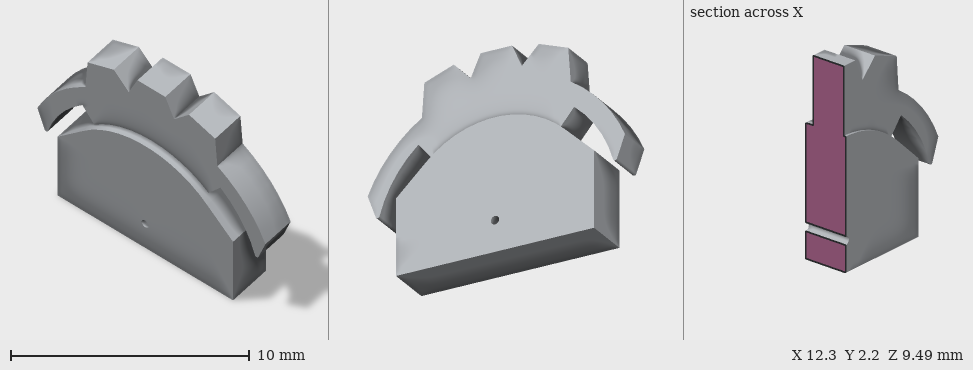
import cadquery as cq
import math

base_width = 9.5
base_depth = 2.2
shoulder_height = 3.61
crown_radius = 4.81
crown_half_chord = 3.34
pivot_height = 1.48
pivot_diameter = 0.4

gear_thickness = 1.68
gear_front_setback = 0.41
rim_radius = 6.7
arm_inner_radius = 5.81
web_half_angle = 40.0

tooth_pitch_angle = 20.0
tooth_tip_height = 8.01
tooth_tip_width = 1.5
tooth_root_half_angle = 12.2

arm_span = 12.33
arm_end_height = 1.55
nose_width = 0.18
nose_length = 0.06

front_y = -base_depth / 2
gear_front_y = front_y + gear_front_setback


def polar(radius, angle):
    """Point relative to the pivot, angle in degrees from vertical."""
    a = math.radians(angle)
    return (radius * math.sin(a), radius * math.cos(a))


def circle_height(radius, x):
    """Height above the pivot of a circle about the pivot at offset x."""
    return math.sqrt(radius**2 - x**2)


def pivot_plane(y):
    """Sketch plane at depth y with its origin on the pivot axis, X right and Z up."""
    return cq.Workplane(cq.Plane(origin=(0, y, pivot_height), xDir=(1, 0, 0), normal=(0, -1, 0)))


def make_base():
    half_width = base_width / 2
    bottom = -pivot_height
    shoulder = shoulder_height - pivot_height
    crown_end = circle_height(crown_radius, crown_half_chord)
    return (
        pivot_plane(front_y)
        .moveTo(-half_width, bottom)
        .lineTo(-half_width, shoulder)
        .lineTo(-crown_half_chord, crown_end)
        .threePointArc((0, crown_radius), (crown_half_chord, crown_end))
        .lineTo(half_width, shoulder)
        .lineTo(half_width, bottom)
        .close()
        .extrude(-base_depth)
    )


def make_rim():
    """Web wedge from the pivot, rim and the two curved arms."""
    inner_x = circle_height(arm_inner_radius, arm_end_height)
    inner_angle = math.degrees(math.atan2(inner_x, arm_end_height))
    inner_mid_angle = (web_half_angle + inner_angle) / 2
    nose_x = inner_x + nose_width
    nose_tip_x = inner_x + nose_width / 2
    nose_tip_height = arm_end_height - nose_length
    outer_x = arm_span / 2
    outer_height = circle_height(rim_radius, outer_x)
    return (
        pivot_plane(gear_front_y)
        .moveTo(0, 0)
        .lineTo(*polar(arm_inner_radius, -web_half_angle))
        .threePointArc(polar(arm_inner_radius, -inner_mid_angle), (-inner_x, arm_end_height))
        .threePointArc((-nose_tip_x, nose_tip_height), (-nose_x, arm_end_height))
        .lineTo(-outer_x, outer_height)
        .threePointArc((0, rim_radius), (outer_x, outer_height))
        .lineTo(nose_x, arm_end_height)
        .threePointArc((nose_tip_x, nose_tip_height), (inner_x, arm_end_height))
        .threePointArc(polar(arm_inner_radius, inner_mid_angle), polar(arm_inner_radius, web_half_angle))
        .close()
        .extrude(-gear_thickness)
    )


def make_tooth(angle):
    """Trapezoid tooth whose flanks run down to the rim circle."""
    root_x, root_height = polar(rim_radius, tooth_root_half_angle)
    tip_x = tooth_tip_width / 2
    tooth = (
        pivot_plane(gear_front_y)
        .polyline([
            (-root_x, root_height),
            (-tip_x, tooth_tip_height),
            (tip_x, tooth_tip_height),
            (root_x, root_height),
        ])
        .close()
        .extrude(-gear_thickness)
    )
    return tooth.rotate((0, 0, pivot_height), (0, 1, pivot_height), angle)


result = make_base().union(make_rim())
for step in (-1, 0, 1):
    result = result.union(make_tooth(step * tooth_pitch_angle))

pivot_hole = pivot_plane(front_y).circle(pivot_diameter / 2).extrude(-base_depth)
result = result.cut(pivot_hole)